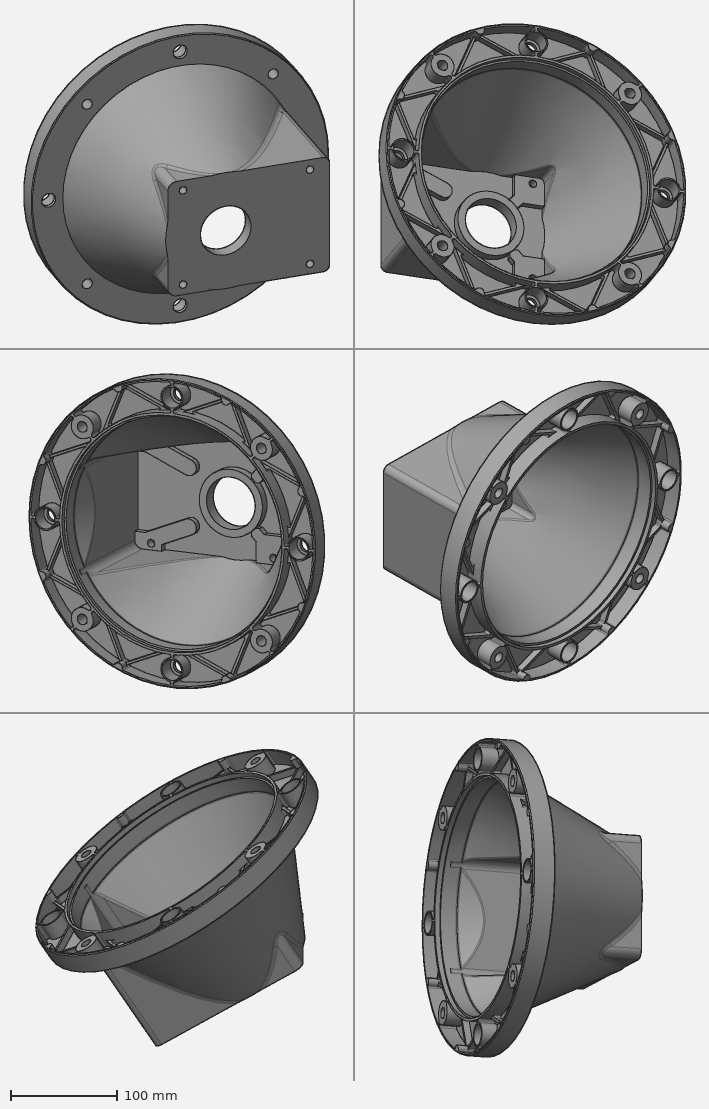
import cadquery as cq
import math

LENGTH = 143.0
FLANGE_DIAMETER = 300.0
FLANGE_THICKNESS = 22.0
FLANGE_EDGE_CHAMFER = 1.0

CONE_BASE_RADIUS = 118.3
CONE_END_RADIUS = 60.6
SHELL_THICKNESS = 5.0
MOUTH_DIAMETER = 226.0
SPIGOT_DIAMETER = 230.0
SPIGOT_DEPTH = 5.0

BOX_Y_MAX = 104.8
BOX_Y_MIN = -58.4
BOX_HALF_HEIGHT = 59.7
BOX_START = 12.0
BOX_FAR_RADIUS = 6.8
BOX_NEAR_RADIUS = 9.0
BLEND_RADIUS = 7.0
SIDE_WALL = 4.0
FAR_WALL = 2.9
POCKET_FAR_RADIUS = 8.0
POCKET_NEAR_RADIUS = 5.0
INNER_BLEND_RADIUS = 3.0
INNER_RIM_RADIUS = 5.0
END_WALL = 5.0
SEAM_MARGIN = 1.0

HUB_DIAMETER = 66.0
HUB_THICKNESS = 15.0
BORE_DIAMETER = 50.8
PAD_THICKNESS = 12.0
SCREW_HOLE_DIAMETER = 7.5
SCREW_Y_FAR = 85.0
SCREW_Y_NEAR = -43.0
SCREW_Z = 49.2
ARM_WIDTH = 16.0
ARM_ANGLE = 22.5
ARM_TIP_Y = 45.6
ARM_TIP_Z = 29.1
ARM_FOOT_Y = 73.8
ARM_EDGE_Z = 39.2
NEAR_PAD_Y = -24.9
NEAR_PAD_Z = 27.4
NEAR_PAD_NECK_Y = -20.4
NEAR_PAD_NECK_Z = 22.2
NEAR_PAD_SHOULDER_Y = -33.5
NEAR_PAD_SHOULDER_Z = 35.1

RECESS_DEPTH = 17.0
RECESS_INNER_RADIUS = 117.5
RECESS_OUTER_RADIUS = 147.5
RECESS_CORNER_RADIUS = 1.5
RIB_WIDTH = 2.5
RIB_OVERLAP = 1.0
BRACE_SETBACK = 10.0
BRACE_ANGLE = 45.0
BRACE_REACH = 60.0
NODE_DIAMETER = 9.0
BOLT_COUNT = 8
BOLT_CIRCLE_RADIUS = 132.5
BOLT_BOSS_DIAMETER = 23.0
SLEEVE_BORE_DIAMETER = 20.15
SLEEVE_BORE_DEPTH = 18.0
SLEEVE_HOLE_DIAMETER = 14.0
PLAIN_HOLE_DIAMETER = 10.25

CONE_LENGTH = LENGTH - FLANGE_THICKNESS
CONE_SLOPE = (CONE_BASE_RADIUS - CONE_END_RADIUS) / CONE_LENGTH
RADIAL_WALL = SHELL_THICKNESS * math.hypot(1, CONE_SLOPE)
MOUTH_RADIUS = MOUTH_DIAMETER / 2
MOUTH_LENGTH = FLANGE_THICKNESS + (CONE_BASE_RADIUS - RADIAL_WALL - MOUTH_RADIUS) / CONE_SLOPE
END_WALL_FACE = LENGTH - END_WALL
POCKET_Y_MAX = BOX_Y_MAX - FAR_WALL
POCKET_Y_MIN = BOX_Y_MIN + SIDE_WALL
POCKET_HALF_HEIGHT = BOX_HALF_HEIGHT - SIDE_WALL


def section(x):
    """Sketch plane across the axis at x, with local axes along Y and Z."""
    return cq.Workplane("YZ", origin=(x, 0, 0))


def disc(x_start, x_end, diameter, y=0.0, z=0.0):
    return section(x_start).center(y, z).circle(diameter / 2).extrude(x_end - x_start)


def block(x_start, x_end, y_min, y_max, half_height):
    sketch = section(x_start).center((y_min + y_max) / 2, 0)
    return sketch.rect(y_max - y_min, 2 * half_height).extrude(x_end - x_start)


def turned(points):
    """Solid of revolution about X from (x, radius) points."""
    return cq.Workplane("XY").polyline(points).close().revolve(360, (0, 0, 0), (1, 0, 0))


def turn(body, angle):
    return body.rotate((0, 0, 0), (1, 0, 0), angle)


def outer_cone():
    return turned([
        (0, 0), (0, CONE_BASE_RADIUS), (FLANGE_THICKNESS, CONE_BASE_RADIUS),
        (LENGTH, CONE_END_RADIUS), (LENGTH, 0),
    ])


def outer_box():
    box = block(BOX_START, LENGTH, BOX_Y_MIN, BOX_Y_MAX, BOX_HALF_HEIGHT)
    box = box.edges("|X and >Y").fillet(BOX_FAR_RADIUS)
    return box.edges("|X and <Y").fillet(BOX_NEAR_RADIUS)


def flange():
    return disc(0, FLANGE_THICKNESS, FLANGE_DIAMETER).edges().chamfer(FLANGE_EDGE_CHAMFER)


def round_seam(body, radius, end_x):
    """Round the curved edges where a box meets a cone, short of the end face at end_x."""
    seam = [
        edge for edge in body.edges().vals()
        if edge.geomType() not in ("LINE", "CIRCLE") and edge.Center().x < end_x - SEAM_MARGIN
    ]
    return body.newObject(seam).fillet(radius)


def shell_blank():
    body = outer_cone().union(outer_box())
    return round_seam(body, BLEND_RADIUS, LENGTH).union(flange())


def mouth():
    """Cylindrical entry with a shallow step at the mounting face."""
    return disc(0, MOUTH_LENGTH, MOUTH_DIAMETER).union(disc(0, SPIGOT_DEPTH, SPIGOT_DIAMETER))


def inner_cone():
    end_radius = CONE_END_RADIUS + END_WALL * CONE_SLOPE - RADIAL_WALL
    cone = turned([
        (0, 0), (0, MOUTH_RADIUS), (MOUTH_LENGTH, MOUTH_RADIUS),
        (END_WALL_FACE, end_radius), (END_WALL_FACE, 0),
    ])
    rim = cq.selectors.NearestToPointSelector((MOUTH_LENGTH, 0, 0))
    return cone.edges("%CIRCLE").edges(rim).fillet(INNER_RIM_RADIUS)


def pocket():
    box = block(MOUTH_LENGTH / 2, END_WALL_FACE, POCKET_Y_MIN, POCKET_Y_MAX, POCKET_HALF_HEIGHT)
    box = box.edges("|X and >Y").fillet(POCKET_FAR_RADIUS)
    return box.edges("|X and <Y").fillet(POCKET_NEAR_RADIUS)


def cavity():
    return round_seam(inner_cone().union(pocket()), INNER_BLEND_RADIUS, END_WALL_FACE).union(mouth())


def pad(points, side):
    outline = [(y, side * z) for y, z in points]
    return section(LENGTH - PAD_THICKNESS).polyline(outline).close().extrude(PAD_THICKNESS)


def far_pad(side):
    """Pad in a far corner with a round-ended arm that runs towards the hub."""
    angle = math.radians(ARM_ANGLE)
    slope = math.tan(angle)
    half_rise = ARM_WIDTH / 2 / math.cos(angle)
    across_y = ARM_WIDTH / 2 * math.sin(angle)
    across_z = ARM_WIDTH / 2 * math.cos(angle)
    bend_y = ARM_TIP_Y + (ARM_EDGE_Z + half_rise - ARM_TIP_Z) / slope
    foot_z = ARM_TIP_Z + (ARM_FOOT_Y - ARM_TIP_Y) * slope + half_rise
    outline = [
        (POCKET_Y_MAX, ARM_EDGE_Z), (bend_y, ARM_EDGE_Z),
        (ARM_TIP_Y + across_y, ARM_TIP_Z - across_z),
        (ARM_TIP_Y - across_y, ARM_TIP_Z + across_z),
        (ARM_FOOT_Y, foot_z),
        (ARM_FOOT_Y, POCKET_HALF_HEIGHT), (POCKET_Y_MAX, POCKET_HALF_HEIGHT),
    ]
    tip = disc(LENGTH - PAD_THICKNESS, LENGTH, ARM_WIDTH, ARM_TIP_Y, side * ARM_TIP_Z)
    return pad(outline, side).union(tip)


def near_pad(side):
    """Pad in a near corner with a neck that runs into the hub."""
    outline = [
        (POCKET_Y_MIN, POCKET_HALF_HEIGHT), (NEAR_PAD_Y, POCKET_HALF_HEIGHT),
        (NEAR_PAD_Y, NEAR_PAD_SHOULDER_Z),
        (NEAR_PAD_NECK_Y, NEAR_PAD_SHOULDER_Z + NEAR_PAD_Y - NEAR_PAD_NECK_Y),
        (NEAR_PAD_NECK_Y, NEAR_PAD_NECK_Z),
        (NEAR_PAD_SHOULDER_Y + NEAR_PAD_Z - NEAR_PAD_NECK_Z, NEAR_PAD_NECK_Z),
        (NEAR_PAD_SHOULDER_Y, NEAR_PAD_Z), (POCKET_Y_MIN, NEAR_PAD_Z),
    ]
    return pad(outline, side)


def end_wall_details(envelope):
    """Hub and corner pads on the inside of the end wall, kept within the outer shape."""
    details = disc(LENGTH - HUB_THICKNESS, LENGTH, HUB_DIAMETER)
    for side in (-1, 1):
        details = details.union(far_pad(side)).union(near_pad(side))
    return details.intersect(envelope)


def bolt_web(x_start, x_end):
    """Bolt boss on the +Y axis with the radial rib that ties it to both rims."""
    boss = disc(x_start, x_end, BOLT_BOSS_DIAMETER, BOLT_CIRCLE_RADIUS)
    rib_start = RECESS_INNER_RADIUS - RIB_OVERLAP
    rib_end = RECESS_OUTER_RADIUS + RIB_OVERLAP
    return boss.union(block(x_start, x_end, rib_start, rib_end, RIB_WIDTH / 2))


def node(x_start, x_end):
    return disc(x_start, x_end, NODE_DIAMETER, RECESS_OUTER_RADIUS)


def brace(x_start, x_end):
    """Pair of ribs that spread from a node on the +Y axis to the inner rim."""
    bar = block(x_start, x_end, -BRACE_REACH, 0, RIB_WIDTH / 2)
    legs = turn(bar, BRACE_ANGLE).union(turn(bar, -BRACE_ANGLE))
    return legs.translate((0, RECESS_OUTER_RADIUS, 0))


def recess_layer(x_start, x_end, with_braces):
    """One depth range of the ring recess, less the bosses, ribs and nodes left standing in it."""
    layer = disc(x_start, x_end, 2 * RECESS_OUTER_RADIUS).cut(disc(x_start, x_end, 2 * RECESS_INNER_RADIUS))
    half_pitch = 180 / BOLT_COUNT
    web = bolt_web(x_start, x_end)
    between = node(x_start, x_end)
    if with_braces:
        between = between.union(brace(x_start, x_end))
    for i in range(BOLT_COUNT):
        angle = 2 * i * half_pitch
        layer = layer.cut(turn(web, angle))
        layer = layer.cut(turn(between, angle + half_pitch))
    return layer.edges("|X").fillet(RECESS_CORNER_RADIUS)


def recess():
    open_layer = recess_layer(0, BRACE_SETBACK, with_braces=False)
    return open_layer.union(recess_layer(BRACE_SETBACK, RECESS_DEPTH, with_braces=True))


def flange_holes():
    """Sleeve holes on the Y and Z axes alternate with plain holes on the diagonals."""
    sleeve = disc(0, FLANGE_THICKNESS, SLEEVE_HOLE_DIAMETER, BOLT_CIRCLE_RADIUS)
    sleeve = sleeve.union(disc(0, SLEEVE_BORE_DEPTH, SLEEVE_BORE_DIAMETER, BOLT_CIRCLE_RADIUS))
    plain = disc(0, FLANGE_THICKNESS, PLAIN_HOLE_DIAMETER, BOLT_CIRCLE_RADIUS)
    pitch = 360 / BOLT_COUNT
    tools = turn(sleeve, 0)
    for i in range(1, BOLT_COUNT):
        hole = plain if i % 2 else sleeve
        tools = tools.union(turn(hole, i * pitch))
    return tools


def end_wall_holes():
    tools = disc(0, LENGTH, BORE_DIAMETER)
    for y in (SCREW_Y_FAR, SCREW_Y_NEAR):
        for z in (-SCREW_Z, SCREW_Z):
            tools = tools.union(disc(FLANGE_THICKNESS, LENGTH, SCREW_HOLE_DIAMETER, y, z))
    return tools


blank = shell_blank()
housing = blank.cut(cavity()).union(end_wall_details(blank)).cut(recess())
result = housing.cut(flange_holes()).cut(end_wall_holes())